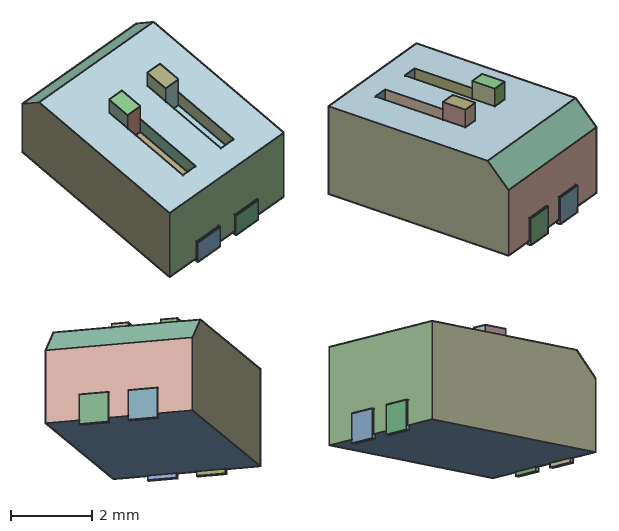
import cadquery as cq

overall_length = 5.5
overall_height = 3.1
pitch = 1.27
row_offsets = (-pitch / 2, pitch / 2)

housing_length = 5.4
housing_width = 3.81
housing_height = 2.49
standoff = 0.11
housing_top = standoff + housing_height
chamfer = 0.625

slot_length = 2.7
slot_width = 0.43
slot_start = -0.675
slot_depth = 0.5
slot_floor = housing_top - slot_depth
slider_length = -slot_start
slider_height = overall_height - slot_floor

terminal_thickness = 0.1
terminal_width = 0.75
terminal_height = 0.76
terminal_x = (overall_length - terminal_thickness) / 2


def make_box(length, width, height, center_x, center_y, bottom):
    """Box centred at (center_x, center_y) and standing on the given level."""
    box = cq.Workplane("XY").box(length, width, height, centered=(True, True, False))
    return box.translate((center_x, center_y, bottom))


def make_slot(y):
    center_x = slot_start + slot_length / 2
    return make_box(slot_length, slot_width, slot_depth, center_x, y, slot_floor)


def make_slider(y):
    center_x = slot_start + slider_length / 2
    return make_box(slider_length, slot_width, slider_height, center_x, y, slot_floor)


def make_terminal(side, y):
    """Flat terminal on the -X (side = -1) or +X (side = 1) end."""
    return make_box(terminal_thickness, terminal_width, terminal_height, side * terminal_x, y, 0)


def make_housing(terminals):
    """Block with a chamfered top edge, slider slots and seats for the terminals."""
    body = make_box(housing_length, housing_width, housing_height, 0, 0, standoff)
    body = body.faces(">Z").edges("<X").chamfer(chamfer)
    for y in row_offsets:
        body = body.cut(make_slot(y))
    for terminal in terminals:
        body = body.cut(terminal)
    return body


sliders = [make_slider(y) for y in row_offsets]
terminals = [make_terminal(side, y) for side in (-1, 1) for y in row_offsets]
housing = make_housing(terminals)

bodies = [housing, *sliders, *terminals]
result = cq.Compound.makeCompound([body.val() for body in bodies])